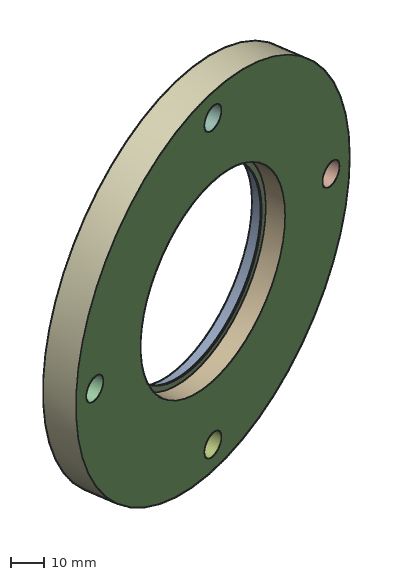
import cadquery as cq

OUTER_DIAMETER = 145.0
THICKNESS = 12.0

BORE_DIAMETER = 72.2
FRONT_RECESS_DIAMETER = 76.2
FRONT_RECESS_DEPTH = 4.5
REAR_RECESS_DIAMETER = 76.4
LIP_THICKNESS = 0.5
REAR_RECESS_DEPTH = THICKNESS - FRONT_RECESS_DEPTH - LIP_THICKNESS

HOLE_DIAMETER = 9.0
HOLE_CIRCLE_DIAMETER = 125.0
HOLE_COUNT = 4


def axial_cylinder(diameter, start, length):
    """Cylinder on the X axis running from X = start to X = start + length."""
    return cq.Workplane("YZ", origin=(start, 0, 0)).circle(diameter / 2).extrude(length)


def mounting_holes():
    """Ring of cutters that pass through the full thickness."""
    return (
        cq.Workplane("YZ")
        .polarArray(HOLE_CIRCLE_DIAMETER / 2, 0, 360, HOLE_COUNT)
        .circle(HOLE_DIAMETER / 2)
        .extrude(THICKNESS)
    )


disc = axial_cylinder(OUTER_DIAMETER, 0, THICKNESS)
bore = axial_cylinder(BORE_DIAMETER, 0, THICKNESS)
front_recess = axial_cylinder(FRONT_RECESS_DIAMETER, 0, FRONT_RECESS_DEPTH)
rear_recess = axial_cylinder(REAR_RECESS_DIAMETER, THICKNESS - REAR_RECESS_DEPTH, REAR_RECESS_DEPTH)

result = disc.cut(bore).cut(front_recess).cut(rear_recess).cut(mounting_holes())